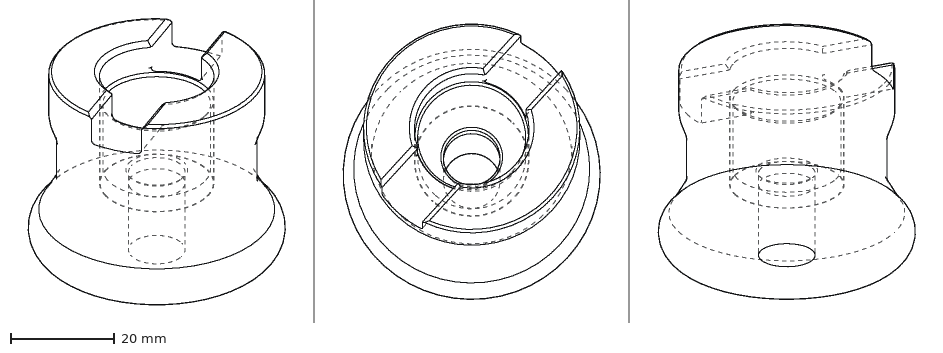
import cadquery as cq
import math

HEIGHT = 40.0
OUTER_RADIUS = 24.95
BEAD_RADIUS = 5.0
NECK_RADIUS = 39.0 / 2
HEAD_RADIUS = 42.0 / 2
HEAD_CHAMFER = 0.55
BLEND_RADIUS = 5.0
HEAD_BLEND_TOP = 30.85
HEAD_CONE_ANGLE = math.radians(20)
NECK_BOTTOM = 16.25
FOOT_CONE_ANGLE = math.radians(30)

SLOT_WIDTH = 10.5
SLOT_DEPTH = 6.4
SLOT_CHAMFER = 1.0
SLOT_FILLET = 0.8

BORE_RADIUS = 22.2 / 2
BORE_CHAMFER = 1.0
BORE_FLOOR = 15.0
HOLE_RADIUS = 11.0 / 2
CUP_RADIUS = 22.0 / 2
CUP_INNER_RADIUS = 10.5
CUP_RECESS = 0.2
CUP_TOP = HEIGHT - SLOT_DEPTH - CUP_RECESS
CUP_RIM_DROP = 0.65
CUP_FLOOR_THICKNESS = 3.0
CUP_CORNER_FILLET = 0.25
CUP_HOLE_CHAMFER = 0.5


def bead_point(angle):
    """Point (radius, height) on the bead circle, angle measured from outward."""
    center = OUTER_RADIUS - BEAD_RADIUS
    return (
        center + BEAD_RADIUS * math.cos(angle),
        BEAD_RADIUS + BEAD_RADIUS * math.sin(angle),
    )


def housing_blank():
    """Revolved outside shape, drawn from the foot up to the head."""
    cone_radius = NECK_RADIUS + BLEND_RADIUS * (1 - math.cos(FOOT_CONE_ANGLE))
    cone_top = NECK_BOTTOM - BLEND_RADIUS * math.sin(FOOT_CONE_ANGLE)
    half_foot = FOOT_CONE_ANGLE / 2
    foot_arc_middle = (
        NECK_RADIUS + BLEND_RADIUS * (1 - math.cos(half_foot)),
        NECK_BOTTOM - BLEND_RADIUS * math.sin(half_foot),
    )

    offset = (
        (cone_radius - OUTER_RADIUS + BEAD_RADIUS) * math.cos(FOOT_CONE_ANGLE)
        + (cone_top - BEAD_RADIUS) * math.sin(FOOT_CONE_ANGLE)
    )
    bead_end_angle = FOOT_CONE_ANGLE + math.acos(offset / BEAD_RADIUS)

    round_width = BLEND_RADIUS * (1 - math.cos(HEAD_CONE_ANGLE))
    round_height = BLEND_RADIUS * math.sin(HEAD_CONE_ANGLE)
    half_head = HEAD_CONE_ANGLE / 2
    half_width = BLEND_RADIUS * (1 - math.cos(half_head))
    half_height = BLEND_RADIUS * math.sin(half_head)
    cone_run = HEAD_RADIUS - NECK_RADIUS - 2 * round_width
    cone_rise = cone_run / math.tan(HEAD_CONE_ANGLE)
    head_cone_top = HEAD_BLEND_TOP - round_height
    head_cone_bottom = head_cone_top - cone_rise
    neck_top = head_cone_bottom - round_height

    profile = (
        cq.Workplane("XZ")
        .lineTo(*bead_point(-math.pi / 2))
        .threePointArc(bead_point(0), bead_point(bead_end_angle))
        .lineTo(cone_radius, cone_top)
        .threePointArc(foot_arc_middle, (NECK_RADIUS, NECK_BOTTOM))
        .lineTo(NECK_RADIUS, neck_top)
        .threePointArc(
            (NECK_RADIUS + half_width, neck_top + half_height),
            (NECK_RADIUS + round_width, head_cone_bottom),
        )
        .lineTo(HEAD_RADIUS - round_width, head_cone_top)
        .threePointArc(
            (HEAD_RADIUS - half_width, HEAD_BLEND_TOP - half_height),
            (HEAD_RADIUS, HEAD_BLEND_TOP),
        )
        .lineTo(HEAD_RADIUS, HEIGHT - HEAD_CHAMFER)
        .lineTo(HEAD_RADIUS - HEAD_CHAMFER, HEIGHT)
        .lineTo(0, HEIGHT)
        .close()
    )
    return profile.revolve(360, (0, 0, 0), (0, 1, 0))


def bore_cutter():
    """Blind bore with a smaller hole through the foot."""
    profile = (
        cq.Workplane("XZ")
        .lineTo(HOLE_RADIUS, 0)
        .lineTo(HOLE_RADIUS, BORE_FLOOR)
        .lineTo(BORE_RADIUS, BORE_FLOOR)
        .lineTo(BORE_RADIUS, HEIGHT)
        .lineTo(0, HEIGHT)
        .close()
    )
    return profile.revolve(360, (0, 0, 0), (0, 1, 0))


def bore_mouth_cutter():
    """Cone that chamfers the mouth of the bore."""
    profile = (
        cq.Workplane("XZ")
        .moveTo(0, HEIGHT - BORE_CHAMFER)
        .lineTo(BORE_RADIUS, HEIGHT - BORE_CHAMFER)
        .lineTo(BORE_RADIUS + BORE_CHAMFER, HEIGHT)
        .lineTo(0, HEIGHT)
        .close()
    )
    return profile.revolve(360, (0, 0, 0), (0, 1, 0))


def slot_cutter():
    """Slot along Y with rounded floor corners."""
    return (
        cq.Workplane("XY", origin=(0, 0, HEIGHT - SLOT_DEPTH))
        .rect(SLOT_WIDTH, 2 * OUTER_RADIUS)
        .extrude(SLOT_DEPTH)
        .edges("|Y and <Z")
        .fillet(SLOT_FILLET)
    )


def slot_mouth_cutter():
    """Flared prism that chamfers both top edges of the slot."""
    half_width = SLOT_WIDTH / 2
    return (
        cq.Workplane("XZ", origin=(0, OUTER_RADIUS, 0))
        .moveTo(-half_width, HEIGHT - SLOT_CHAMFER)
        .lineTo(half_width, HEIGHT - SLOT_CHAMFER)
        .lineTo(half_width + SLOT_CHAMFER, HEIGHT)
        .lineTo(-half_width - SLOT_CHAMFER, HEIGHT)
        .close()
        .extrude(2 * OUTER_RADIUS)
    )


def upright_edge_cutter(side_x, side_y):
    """Wedge that rounds one upright edge between slot wall and bore, above the slot floor corner."""
    wall_x = SLOT_WIDTH / 2
    center_distance = BORE_RADIUS + SLOT_FILLET
    center_x = wall_x + SLOT_FILLET
    center_y = math.sqrt(center_distance**2 - center_x**2)

    bore_x = center_x * BORE_RADIUS / center_distance
    bore_y = center_y * BORE_RADIUS / center_distance
    middle_angle = (math.pi + math.atan2(bore_y - center_y, bore_x - center_x) % (2 * math.pi)) / 2
    middle_x = center_x + SLOT_FILLET * math.cos(middle_angle)
    middle_y = center_y + SLOT_FILLET * math.sin(middle_angle)
    return (
        cq.Workplane("XY", origin=(0, 0, HEIGHT - SLOT_DEPTH + SLOT_FILLET))
        .moveTo(side_x * wall_x, side_y * center_y)
        .threePointArc((side_x * middle_x, side_y * middle_y), (side_x * bore_x, side_y * bore_y))
        .lineTo(side_x * wall_x, side_y * bore_y)
        .close()
        .extrude(SLOT_DEPTH - SLOT_FILLET)
    )


def make_housing():
    """Outside shape with the bore, the slot, their rounded edges and chamfered mouths cut in."""
    body = housing_blank().cut(bore_cutter()).cut(slot_cutter())
    for side_x in (-1, 1):
        for side_y in (-1, 1):
            body = body.cut(upright_edge_cutter(side_x, side_y))
    return body.cut(bore_mouth_cutter()).cut(slot_mouth_cutter())


def make_cup():
    """Cup standing on the bore floor, with a bevelled rim and a chamfered hole."""
    floor_top = BORE_FLOOR + CUP_FLOOR_THICKNESS
    profile = (
        cq.Workplane("XZ")
        .moveTo(HOLE_RADIUS, BORE_FLOOR)
        .lineTo(CUP_RADIUS, BORE_FLOOR)
        .lineTo(CUP_RADIUS, CUP_TOP)
        .lineTo(CUP_INNER_RADIUS, CUP_TOP - CUP_RIM_DROP)
        .lineTo(CUP_INNER_RADIUS, floor_top + CUP_CORNER_FILLET)
        .radiusArc((CUP_INNER_RADIUS - CUP_CORNER_FILLET, floor_top), CUP_CORNER_FILLET)
        .lineTo(HOLE_RADIUS + CUP_HOLE_CHAMFER, floor_top)
        .lineTo(HOLE_RADIUS, floor_top - CUP_HOLE_CHAMFER)
        .close()
    )
    return profile.revolve(360, (0, 0, 0), (0, 1, 0))


housing = make_housing()
cup = make_cup()
result = cq.Compound.makeCompound([housing.val(), cup.val()])